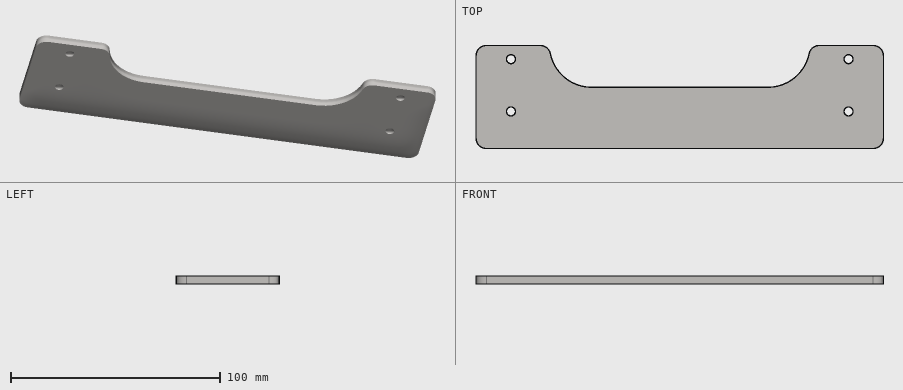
import cadquery as cq
import math

length = 195.0
width = 49.41
thickness = 4.0
corner_radius = 5.0

notch_depth = 20.0
notch_floor_length = 84.5
notch_radius = 20.0
shoulder_radius = 5.0

hole_diameter = 4.2
hole_spacing_x = 161.5
hole_spacing_y = 25.0
lower_hole_height = 17.8

half_length = length / 2
bottom = -width / 2
top = width / 2


def point_on_arc(center, radius, angle):
    """Point at the given angle (radians) on a circle."""
    return (center[0] + radius * math.cos(angle), center[1] + radius * math.sin(angle))


def mirrored(point):
    """Point reflected across the YZ plane."""
    return (-point[0], point[1])


def make_plate():
    """Plate whose +Y edge has a notch with S-shaped ends, symmetric about X = 0."""
    floor_y = top - notch_depth
    floor_end = (notch_floor_length / 2, floor_y)
    notch_center = (floor_end[0], floor_y + notch_radius)

    shoulder_y = top - shoulder_radius
    center_rise = shoulder_y - notch_center[1]
    center_distance = notch_radius + shoulder_radius
    center_run = math.sqrt(center_distance**2 - center_rise**2)
    shoulder_center = (notch_center[0] + center_run, shoulder_y)
    tangent_angle = math.atan2(center_rise, center_run)

    tangent_point = point_on_arc(notch_center, notch_radius, tangent_angle)
    notch_mid = point_on_arc(notch_center, notch_radius, (tangent_angle - math.pi / 2) / 2)
    shoulder_mid_angle = (tangent_angle + math.pi + math.pi / 2) / 2
    shoulder_mid = point_on_arc(shoulder_center, shoulder_radius, shoulder_mid_angle)
    shoulder_end = (shoulder_center[0], top)

    outline = (
        cq.Workplane("XY")
        .moveTo(-half_length, bottom)
        .lineTo(half_length, bottom)
        .lineTo(half_length, top)
        .lineTo(*shoulder_end)
        .threePointArc(shoulder_mid, tangent_point)
        .threePointArc(notch_mid, floor_end)
        .lineTo(*mirrored(floor_end))
        .threePointArc(mirrored(notch_mid), mirrored(tangent_point))
        .threePointArc(mirrored(shoulder_mid), mirrored(shoulder_end))
        .lineTo(-half_length, top)
        .close()
    )
    return outline.extrude(thickness)


def round_corners(plate):
    """Round the four vertical outer corners."""
    corners = plate.edges("|Z and (<X or >X)")
    return corners.fillet(corner_radius)


def drill_holes(plate):
    """Drill the four through holes."""
    row_center_y = bottom + lower_hole_height + hole_spacing_y / 2
    return (
        plate.faces(">Z")
        .workplane(origin=(0, row_center_y, thickness))
        .rarray(hole_spacing_x, hole_spacing_y, 2, 2)
        .hole(hole_diameter)
    )


result = drill_holes(round_corners(make_plate()))